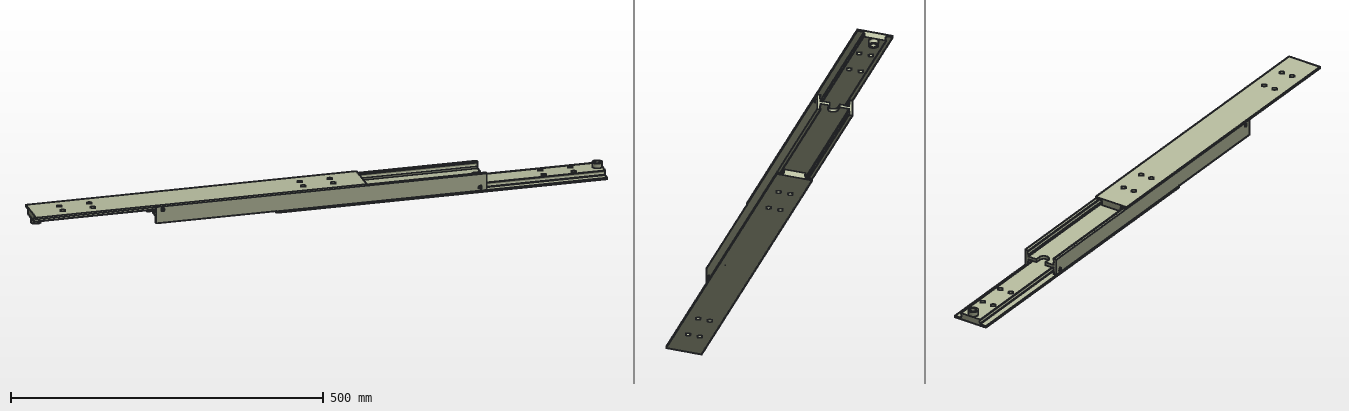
import cadquery as cq


width = 60
height = 34
extended_length = 950
member_length = 550
rail_center = (extended_length - member_length) / 2

flange_thickness = 3
tongue_width = 38
tongue_bottom_z = 5.5

wall_height = 28
wall_thickness = 6
web_thickness = 5.5

track_radius = 4
track_center_x = (tongue_width + width - 2 * wall_thickness) / 4
track_center_z = 9.5

pin_diameter = 16
pin_length = 8
pin_bore_diameter = 10
notch_width = 17
notch_depth = 17

hole_diameter = 8
hole_spacing_x = 20
hole_end_offsets = (50, 100)

side_hole_diameter = 5.5
side_hole_end_offset = 11
side_hole_z = 8.5


def half_turn(body):
    """Turn a body upside down and end for end about the X axis."""
    return body.rotate((0, 0, 0), (1, 0, 0), 180)


def block(size_x, size_y, bottom_z, top_z):
    """Box centred on X and Y between two heights."""
    return (
        cq.Workplane("XY", origin=(0, 0, bottom_z))
        .rect(size_x, size_y)
        .extrude(top_z - bottom_z)
    )


def make_tracks():
    """Round bars in the upper channel that cut the ball tracks on both sides."""
    return (
        cq.Workplane("XZ", origin=(0, member_length / 2, 0))
        .pushPoints([(-track_center_x, track_center_z), (track_center_x, track_center_z)])
        .circle(track_radius)
        .extrude(member_length)
    )


def make_rail():
    """Upper rail with its hollow stop pin, drawn out towards -Y."""
    top_z = height / 2
    flange = block(width, member_length, top_z - flange_thickness, top_z)
    tongue = block(tongue_width, member_length, tongue_bottom_z, top_z)
    rail = flange.union(tongue.cut(make_tracks()))

    hole_points = [
        (side * hole_spacing_x / 2, end * (member_length / 2 - offset))
        for side in (-1, 1)
        for end in (-1, 1)
        for offset in hole_end_offsets
    ]
    holes = (
        cq.Workplane("XY")
        .pushPoints(hole_points)
        .circle(hole_diameter / 2)
        .extrude(height)
    )
    rail = rail.cut(holes)

    pin_y = (pin_diameter - member_length) / 2
    pin = (
        cq.Workplane("XY", origin=(0, pin_y, tongue_bottom_z))
        .circle(pin_diameter / 2)
        .circle(pin_bore_diameter / 2)
        .extrude(-pin_length)
    )
    return rail.union(pin).translate((0, -rail_center, 0))


def make_middle_member():
    """H-section with a round-bottomed notch in each end of the web."""
    member = block(width, member_length, -wall_height / 2, wall_height / 2)
    channel_width = width - 2 * wall_thickness
    for bottom_z, top_z in (
        (web_thickness / 2, wall_height / 2),
        (-wall_height / 2, -web_thickness / 2),
    ):
        member = member.cut(block(channel_width, member_length, bottom_z, top_z))

    end_y = member_length / 2
    notch_radius = notch_width / 2
    arc_start_y = end_y - notch_depth + notch_radius
    notch = (
        cq.Workplane("XY", origin=(0, 0, -web_thickness / 2))
        .moveTo(-notch_radius, end_y)
        .lineTo(-notch_radius, arc_start_y)
        .threePointArc((0, end_y - notch_depth), (notch_radius, arc_start_y))
        .lineTo(notch_radius, end_y)
        .close()
        .extrude(web_thickness)
    )
    side_hole = (
        cq.Workplane("YZ", origin=(-width / 2, 0, 0))
        .center(end_y - side_hole_end_offset, -side_hole_z)
        .circle(side_hole_diameter / 2)
        .extrude(width)
    )
    for cutter in (notch, side_hole, make_tracks()):
        member = member.cut(cutter).cut(half_turn(cutter))
    return member


upper_rail = make_rail()
lower_rail = half_turn(make_rail())
middle_member = make_middle_member()

result = cq.Compound.makeCompound([upper_rail.val(), middle_member.val(), lower_rail.val()])